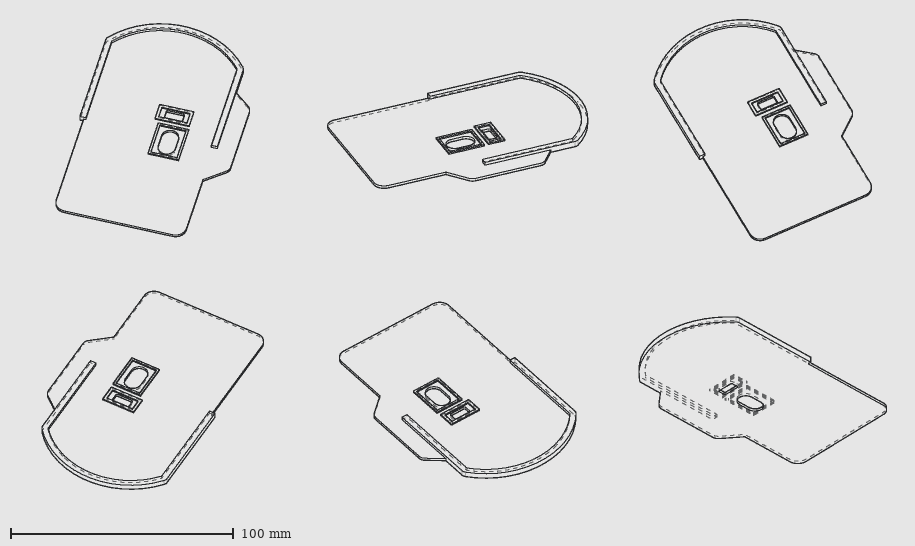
import cadquery as cq

total_length = 112.2
plate_thickness = 1.3
plate_half_width = 30.3
plate_corner_radius = 5.0

wall_thickness = 2.8
wall_height = 2.8
wall_inner_half_width = 29.2
wall_start_y = 51.5
dome_start_y = 95.6

tab_reach_x = 40.5
tab_center_y = 59.2
tab_root_half_length = 26.0
tab_tip_half_length = 17.6
tab_corner_radius = 3.4

frame_height = 0.7
port_center = (8.6, 64.0)
port_frame_size = (15.9, 8.1)
port_recess_size = (13.1, 5.4)
port_hole_size = (8.4, 4.0)
port_hole_radius = 0.7
slot_center = (9.9, 49.2)
slot_frame_size = (14.3, 17.5)
slot_recess_size = (12.1, 15.5)
slot_length = 13.5
slot_width = 7.9


def dome_outline(bottom_y):
    """Straight-sided inner outline of the wall, closed by the dome arc."""
    return (
        cq.Workplane("XY")
        .moveTo(-wall_inner_half_width, bottom_y)
        .lineTo(wall_inner_half_width, bottom_y)
        .lineTo(wall_inner_half_width, dome_start_y)
        .threePointArc((0, total_length - wall_thickness), (-wall_inner_half_width, dome_start_y))
        .close()
    )


def make_wall():
    inner = dome_outline(0).extrude(wall_height)
    outer = dome_outline(0).offset2D(wall_thickness, "arc").extrude(wall_height)
    outer_width = 2 * (wall_inner_half_width + wall_thickness)
    keep = (
        cq.Workplane("XY", origin=(0, wall_start_y, 0))
        .box(outer_width, total_length, wall_height, centered=(True, False, False))
    )
    return outer.cut(inner).intersect(keep)


def make_plate():
    lower = (
        cq.Workplane("XY")
        .box(2 * plate_half_width, dome_start_y, plate_thickness, centered=(True, False, False))
        .edges("|Z and <Y")
        .fillet(plate_corner_radius)
    )
    return lower.union(dome_outline(wall_start_y).extrude(plate_thickness))


def make_tab():
    return (
        cq.Workplane("XY")
        .polyline([
            (plate_half_width, tab_center_y - tab_root_half_length),
            (tab_reach_x, tab_center_y - tab_tip_half_length),
            (tab_reach_x, tab_center_y + tab_tip_half_length),
            (plate_half_width, tab_center_y + tab_root_half_length),
        ])
        .close()
        .extrude(plate_thickness)
        .edges("|Z and >X")
        .fillet(tab_corner_radius)
    )


def make_frame(center, outer_size, recess_size):
    return (
        cq.Workplane("XY", origin=(*center, plate_thickness))
        .rect(*outer_size)
        .rect(*recess_size)
        .extrude(frame_height)
    )


port_hole = (
    cq.Workplane("XY", origin=(*port_center, 0))
    .rect(*port_hole_size)
    .extrude(plate_thickness)
    .edges("|Z")
    .fillet(port_hole_radius)
)
slot_hole = (
    cq.Workplane("XY", origin=(*slot_center, 0))
    .slot2D(slot_length, slot_width, 90)
    .extrude(plate_thickness)
)

result = (
    make_plate()
    .union(make_tab())
    .union(make_wall())
    .union(make_frame(port_center, port_frame_size, port_recess_size))
    .union(make_frame(slot_center, slot_frame_size, slot_recess_size))
    .cut(port_hole)
    .cut(slot_hole)
)